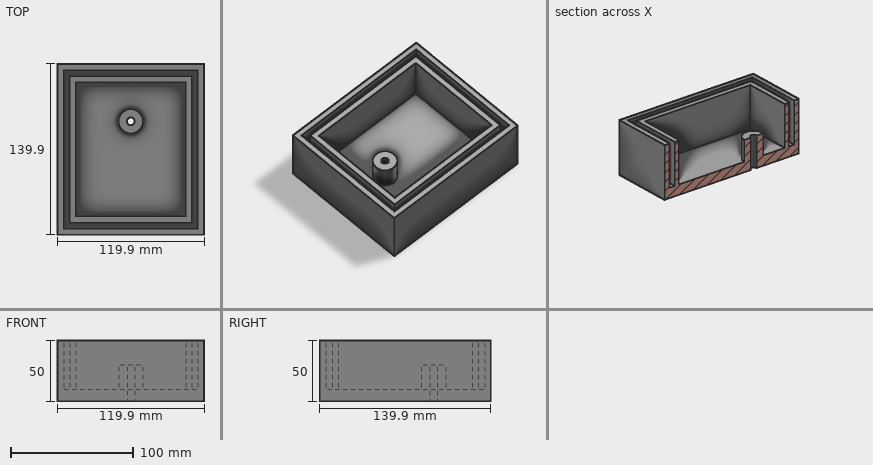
import cadquery as cq

width = 119.9
length = 139.9
height = 50.0
floor = 10.0

wall = 5.0
gap = wall

post_diameter = 20.0
post_height = 20.0
post_hole_diameter = 6.2
post_y = 23.0


def centred_block(inset, bottom, top):
    """Block inset evenly from the outer sides of the box."""
    return (
        cq.Workplane("XY", origin=(0, 0, bottom))
        .rect(width - 2 * inset, length - 2 * inset)
        .extrude(top - bottom)
    )


def post_cylinder(diameter, bottom, top):
    """Upright cylinder on the axis of the post."""
    return (
        cq.Workplane("XY", origin=(0, post_y, bottom))
        .circle(diameter / 2)
        .extrude(top - bottom)
    )


inner_wall_inset = wall + gap
cavity_inset = inner_wall_inset + wall
post_top = floor + post_height

result = centred_block(0, 0, height)
result = result.cut(centred_block(wall, floor, height))

inner_wall = centred_block(inner_wall_inset, floor, height)
inner_wall = inner_wall.cut(centred_block(cavity_inset, floor, height))
result = result.union(inner_wall)

result = result.union(post_cylinder(post_diameter, floor, post_top))
result = result.cut(post_cylinder(post_hole_diameter, 0, post_top))